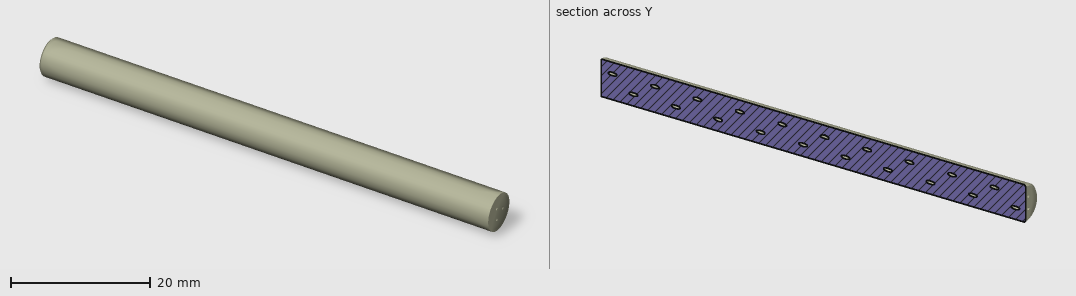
import cadquery as cq
import math

length = 75.0
diameter = 6.0
chamfer = 0.3

hole_diameter = 0.45
hole_circle_radius = 1.1
hole_count = 3
first_hole_angle = 0.0
helix_angle = 40.0

helix_lead = math.pi * diameter / math.tan(math.radians(helix_angle))
total_twist = 360.0 * length / helix_lead

end_plane = cq.Workplane("YZ").workplane(offset=-length / 2)

rod = end_plane.circle(diameter / 2).extrude(length)
rod = rod.faces("<X").chamfer(chamfer)

holes = (
    end_plane
    .polarArray(hole_circle_radius, first_hole_angle, 360, hole_count)
    .circle(hole_diameter / 2)
    .twistExtrude(length, total_twist)
)

result = rod.cut(holes)